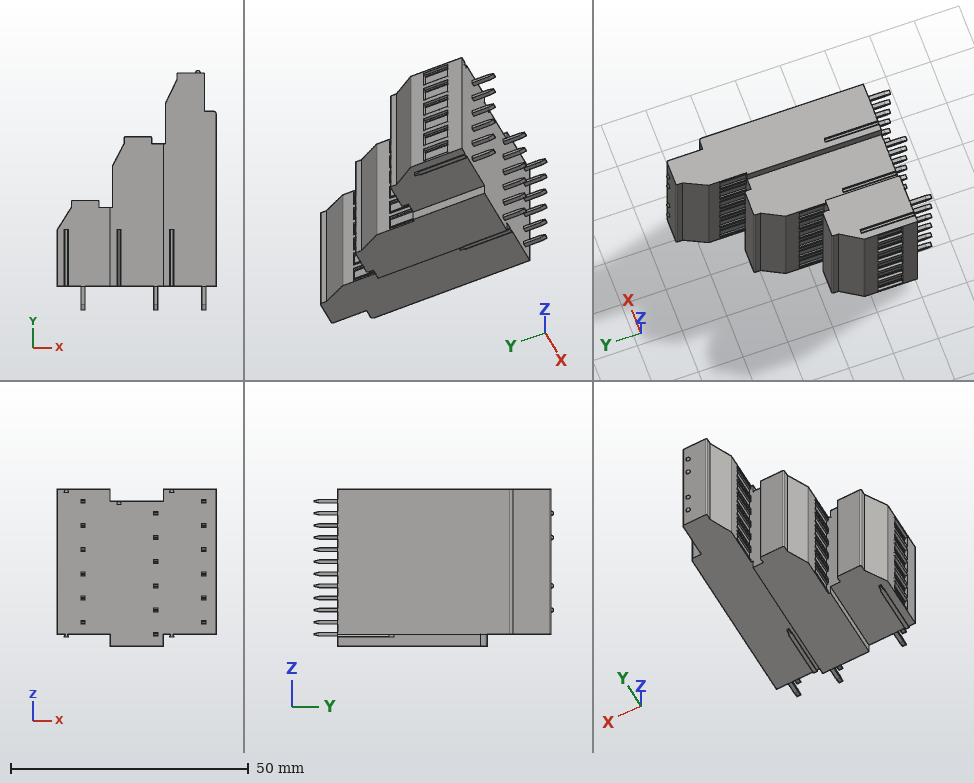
import cadquery as cq

body_width = 33.4
tier_count = 3
tier_width = body_width / tier_count
pole_count = 6
pole_pitch = 5.1
tier_height = pole_count * pole_pitch
stagger = 2.5
tier_rise = 13.4

foot_y = (11.85, 25.25, 38.45)
shoulder_y = 16.6
crown_y = 18.05
crown_left = 2.95
crown_right = 8.8
crown_spacing = 11.05
front_setback = 0.45
foot_round = 0.3
crown_round = 0.35
ledge_drop = 8.05
ledge_round = 0.65

window_top = (8.85, 22.25, 35.9)
window_length = 5.55
window_height = 3.85
window_border = 0.5
lower_window_depths = (0.6, 0.8)
upper_window_depths = (0.1, 0.45)

dovetail_x = 1.9
dovetail_spacing = 11.05
dovetail_neck = 0.5
dovetail_base = 0.9
dovetail_foot = 0.15
groove_length = 11.95
groove_depth = 0.7
groove_mouth = 0.9
groove_mouth_depth = 0.15
rail_length = 11.8
rail_depth = 0.55
rail_stop_length = 1.0
rail_tiers = (0, 2)

pin_x = (5.45, 20.65, 30.8)
pin_width = 0.9
pin_thickness = 0.8
pin_length = 5.0
pin_tip_length = 1.2
pin_tip_thickness = 0.25

bump_x = 29.55
bump_radius = 0.5
bump_poles = (1, 2, 4, 5)

overlap = 0.5
selection_margin = 0.05


def tier_base(tier):
    """Z of the lower face of a tier."""
    return 0 if tier == 1 else stagger


def tier_front(tier):
    """X of the front face that carries the windows."""
    return 0 if tier == 0 else tier * tier_width + front_setback


def pole_center(tier, pole):
    return tier_base(tier) + (pole + 0.5) * pole_pitch


def box(x_range, y_range, z_range):
    size = [high - low for low, high in (x_range, y_range, z_range)]
    return cq.Workplane("XY").box(*size, centered=False).translate((x_range[0], y_range[0], z_range[0]))


def make_tier(tier):
    """Stepped profile of one tier, from its seam to the next one."""
    rise = tier * tier_rise
    seam = tier * tier_width
    right = seam + tier_width
    front = tier_front(tier)
    left_crown = crown_left + tier * crown_spacing
    right_crown = crown_right + tier * crown_spacing
    is_last = tier == tier_count - 1
    crown = crown_y + rise
    rear_y = crown - ledge_drop if is_last else shoulder_y + rise

    points = [(seam, 0)]
    if tier > 0:
        floor = shoulder_y + rise - tier_rise
        points += [(seam, floor), (front, floor)]
    points += [
        (front, foot_y[tier]),
        (left_crown, shoulder_y + rise),
        (left_crown, crown),
        (right_crown, crown),
        (right_crown, rear_y),
        (right, rear_y),
        (right, 0),
    ]
    solid = cq.Workplane("XY").polyline(points).close().extrude(tier_height)

    def edge_at(x, y):
        low = (x - selection_margin, y - selection_margin, 0)
        high = (x + selection_margin, y + selection_margin, tier_height)
        return cq.selectors.BoxSelector(low, high)

    solid = solid.edges(edge_at(front, foot_y[tier])).fillet(foot_round)
    solid = solid.edges(edge_at(left_crown, crown)).fillet(crown_round)
    solid = solid.edges(edge_at(right_crown, crown)).fillet(crown_round)
    if is_last:
        solid = solid.edges(edge_at(right, rear_y)).fillet(ledge_round)
    return solid.translate((0, 0, tier_base(tier)))


def make_windows(tier):
    """Stepped recesses in the front face, one per pole."""
    outer_depth, inner_depth = lower_window_depths if tier == 0 else upper_window_depths
    front = tier_front(tier)
    top = window_top[tier]
    if tier == 0:
        bottom = top - window_length
    else:
        bottom = shoulder_y + (tier - 1) * tier_rise
    cutters = cq.Workplane("XY")
    for pole in range(pole_count):
        center = pole_center(tier, pole)
        for depth, half in (
            (outer_depth, window_height / 2),
            (inner_depth, window_height / 2 - window_border),
        ):
            cutters = cutters.add(box((front, front + depth), (bottom, top), (center - half, center + half)))
    return cutters.combine()


def mirrored_bar(tier, right_points, face_z, length):
    """Bar along Y, symmetric about the dovetail line of a tier, from its right half outline."""
    left_points = [(-x, z) for x, z in reversed(right_points)]
    bar = cq.Workplane("XZ").polyline(right_points + left_points).close().extrude(-length)
    return bar.translate((dovetail_x + tier * dovetail_spacing, 0, face_z))


def make_groove(tier):
    """Dovetail groove with a chamfered mouth, cut into the top face of a tier."""
    outline = [
        (groove_mouth / 2, 0),
        (dovetail_neck / 2, -groove_mouth_depth),
        (dovetail_base / 2, dovetail_foot - groove_depth),
        (dovetail_base / 2, -groove_depth),
    ]
    return mirrored_bar(tier, outline, tier_base(tier) + tier_height, groove_length)


def make_rail(tier):
    """Dovetail rail under a tier, continued by a straight stop as wide as its neck."""
    face_z = tier_base(tier)
    flared = [
        (dovetail_neck / 2, 0),
        (dovetail_base / 2, dovetail_foot - rail_depth),
        (dovetail_base / 2, -rail_depth),
    ]
    straight = [
        (dovetail_neck / 2, 0),
        (dovetail_neck / 2, -rail_depth),
    ]
    rail = mirrored_bar(tier, flared, face_z, rail_length - rail_stop_length)
    return rail.union(mirrored_bar(tier, straight, face_z, rail_length))


def make_pin(x, z):
    """Flat pin whose thickness tapers towards the tip."""
    half = pin_thickness / 2
    tip = pin_tip_thickness / 2
    taper_y = pin_tip_length - pin_length
    points = [
        (overlap, -half),
        (taper_y, -half),
        (-pin_length, -tip),
        (-pin_length, tip),
        (taper_y, half),
        (overlap, half),
    ]
    pin = cq.Workplane("YZ").polyline(points).close().extrude(pin_width)
    return pin.translate((x - pin_width / 2, 0, z))


result = make_tier(0)
for tier in range(1, tier_count):
    result = result.union(make_tier(tier))

for tier in range(tier_count):
    result = result.cut(make_windows(tier))
    result = result.cut(make_groove(tier))

for tier in rail_tiers:
    result = result.union(make_rail(tier))

for tier in range(tier_count):
    for pole in range(pole_count):
        result = result.union(make_pin(pin_x[tier], pole_center(tier, pole)))

crown_top = crown_y + (tier_count - 1) * tier_rise
for pole in bump_poles:
    bump = cq.Workplane("XY").sphere(bump_radius)
    result = result.union(bump.translate((bump_x, crown_top, stagger + pole * pole_pitch)))